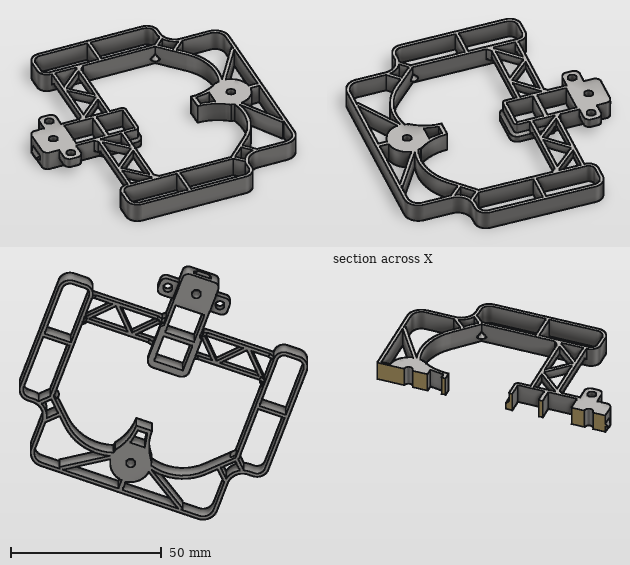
import cadquery as cq
import math

height = 7.0
wall = 1.2
half_width = 43.75

head_half_width = 32.7
head_top = 11.1
head_radius = 5.0
shoulder_y = -9.4
shoulder_radius = 5.25
pod_bottom = -54.7
pod_outer_radius = 4.0
pod_inner_radius = 3.5
pod_rib_y = -33.1

cavity_half_width = 32.0
arch_center_x = 12.0
arch_center_y = -17.85
arch_radius = 17.15
arch_reach = arch_radius * math.sqrt(0.5)
arch_start_x = arch_center_x + arch_reach
arch_start_y = arch_center_y + arch_reach
cavity_corner_y = arch_start_y - (cavity_half_width - arch_start_x)

corner_rib_spacing = 6.6
corner_rib_reach = shoulder_radius
center_rib_width = 1.5
brace_start_x = 21.4
brace_end_x = 6.1
brace_end_y = -0.2

hub_radius = 6.8
bore_diameter = 3.0
beak_half_width = 2.8
beak_tip_y = -13.2
beak_flare_radius = 17.1
beak_top_y = -2.6
beak_window_top_y = -6.8
beak_window_bottom_y = -11.7
beak_window_top_half = 2.5
beak_window_bottom_half = 1.7

arm_height = 3.1
arm_bottom = height - arm_height
rear_bar_y = -41.6
front_bar_y = -50.3
zigzag_end_x = 6.65
zigzag_pitch = 8.2
zigzag_count = 3
haunch = 1.4
cavity_gusset = 1.4
block_gusset = 1.05

block_half_width = 6.3
block_rear_y = -35.7
block_front_y = -70.0
block_front_radius = 2.0
block_rear_radius = 1.3
middle_rib_y = -47.0
middle_rib_width = 1.5
window_front_y = -57.9
block_bore_y = -64.05

lip_side = 1.0
lip_rear = 1.2
lip_front_y = -50.05
lip_radius = 2.7
lip_straight_height = 2.4

tab_half_span = 12.25
tab_width = 6.1
tab_y = -61.6
tab_thickness = 3.4
tab_radius = 2.0
tab_hole_x = 9.2

catch_bottom = 2.2
catch_edge = 0.2
catch_reach = 1.2
catch_half_width = 3.1
nub_radius = 1.75


def mirrored(half):
    return half.union(half.mirror("YZ"))


def bar(start, end, width, bottom=0.0):
    """Upright strip of the given width centred on a line, reaching up to the top face."""
    run = end[0] - start[0]
    rise = end[1] - start[1]
    length = math.hypot(run, rise)
    strip = cq.Workplane("XY").box(length, width, height - bottom, centered=(True, True, False))
    strip = strip.rotate((0, 0, 0), (0, 0, 1), math.degrees(math.atan2(rise, run)))
    return strip.translate(((start[0] + end[0]) / 2, (start[1] + end[1]) / 2, bottom))


def rectangle(x_min, x_max, y_min, y_max, bottom=0.0, top=height):
    block = cq.Workplane("XY").box(x_max - x_min, y_max - y_min, top - bottom, centered=False)
    return block.translate((x_min, y_min, bottom))


def prism(points, top=height, bottom=0.0):
    return cq.Workplane("XY").workplane(offset=bottom).polyline(points).close().extrude(top - bottom)


def ring_blank():
    """Solid between the outer skin and the cavity."""
    pod = rectangle(-half_width, -cavity_half_width, pod_bottom, shoulder_y)
    pod = pod.edges("|Z and <X").fillet(pod_outer_radius)
    pod = pod.edges("|Z and >X and <Y").fillet(pod_inner_radius)
    head = rectangle(-head_half_width, head_half_width, cavity_corner_y, head_top)
    head = head.edges("|Z and >Y").fillet(head_radius)

    shoulder = rectangle(
        -head_half_width - shoulder_radius, -head_half_width, shoulder_y, shoulder_y + shoulder_radius
    )
    shoulder_round = (
        cq.Workplane("XY")
        .center(-head_half_width - shoulder_radius, shoulder_y + shoulder_radius)
        .circle(shoulder_radius)
        .extrude(height)
    )
    blank = head.union(mirrored(pod.union(shoulder.cut(shoulder_round))))

    arch_side_angle = (math.radians(135) + math.acos(arch_center_x / arch_radius)) / 2
    arch_middle = (
        -arch_center_x + arch_radius * math.cos(arch_side_angle),
        arch_center_y + arch_radius * math.sin(arch_side_angle),
    )
    arch_meeting_y = arch_center_y + math.sqrt(arch_radius**2 - arch_center_x**2)
    cavity = (
        cq.Workplane("XY")
        .moveTo(0, pod_bottom)
        .lineTo(-cavity_half_width, pod_bottom)
        .lineTo(-cavity_half_width, cavity_corner_y)
        .lineTo(-arch_start_x, arch_start_y)
        .threePointArc(arch_middle, (0, arch_meeting_y))
        .close()
        .extrude(height)
    )
    return blank.cut(mirrored(cavity)).clean()


def frame():
    """Ring walls with the ribs that stiffen the pods and the head."""
    blank = ring_blank()
    inner_outline = blank.faces("<Z").wires().toPending().offset2D(-wall)
    opening = cq.Workplane("XY").add(inner_outline.vals()).toPending().extrude(height)

    ribs = rectangle(-half_width, -cavity_half_width, pod_rib_y - wall / 2, pod_rib_y + wall / 2)
    for spacing in (0, corner_rib_spacing):
        shift = spacing * math.sqrt(0.5)
        foot = (-cavity_half_width + shift, cavity_corner_y + shift)
        ribs = ribs.union(bar(foot, (foot[0] - corner_rib_reach, foot[1] + corner_rib_reach), wall))
    ribs = ribs.union(bar((-brace_start_x, head_top - wall), (-brace_end_x, brace_end_y), wall))
    ribs = ribs.union(rectangle(-center_rib_width / 2, 0, 0, head_top))
    return blank.cut(opening).union(mirrored(ribs).intersect(blank))


def hub():
    drop = beak_top_y - beak_tip_y
    flare = beak_flare_radius - math.sqrt(beak_flare_radius**2 - drop**2)
    half_beak = (
        cq.Workplane("XY")
        .moveTo(0, beak_top_y)
        .lineTo(0, beak_tip_y)
        .lineTo(-beak_half_width, beak_tip_y)
        .radiusArc((-beak_half_width - flare, beak_top_y), -beak_flare_radius)
        .close()
        .extrude(height)
    )
    disc = cq.Workplane("XY").circle(hub_radius).extrude(height)
    window = prism(
        [
            (-beak_window_top_half, beak_window_top_y),
            (beak_window_top_half, beak_window_top_y),
            (beak_window_bottom_half, beak_window_bottom_y),
            (-beak_window_bottom_half, beak_window_bottom_y),
        ]
    )
    return disc.union(mirrored(half_beak)).cut(window)


def left_arm():
    outer_x = -cavity_half_width
    inner_x = -block_half_width
    lip_x = inner_x - lip_side
    bars = []
    for y in (rear_bar_y, front_bar_y):
        profile = [
            (outer_x, height),
            (outer_x, arm_bottom - haunch),
            (outer_x + haunch, arm_bottom),
            (lip_x - haunch, arm_bottom),
            (lip_x, arm_bottom - haunch),
            (inner_x, arm_bottom - haunch),
            (inner_x, height),
        ]
        strip = cq.Workplane("XZ", origin=(0, y + wall / 2, 0)).polyline(profile).close().extrude(wall)
        bars.append(strip)
    arm = bars[0].union(bars[1])

    for index in range(zigzag_count):
        right_x = -zigzag_end_x - index * zigzag_pitch
        ends = [rear_bar_y, front_bar_y]
        if index % 2:
            ends.reverse()
        arm = arm.union(bar((right_x - zigzag_pitch, ends[0]), (right_x, ends[1]), wall, arm_bottom))

    rear_face = rear_bar_y + wall / 2
    front_face = front_bar_y - wall / 2
    for x, y, leg in ((outer_x, rear_face, cavity_gusset), (inner_x, front_face, -block_gusset)):
        corner = [(x, y), (x + leg, y), (x, y + leg)]
        arm = arm.union(prism(corner, bottom=arm_bottom - haunch))
    return arm


def block():
    body = rectangle(-block_half_width, block_half_width, block_front_y, block_rear_y)
    body = body.edges("|Z and <Y").fillet(block_front_radius)
    body = body.edges("|Z and >Y").fillet(block_rear_radius)

    lip_half_width = block_half_width + lip_side
    lip = rectangle(
        -lip_half_width, lip_half_width, lip_front_y, block_rear_y + lip_rear, top=lip_straight_height
    )
    lip = lip.edges("|Z and >Y").fillet(lip_radius)
    lip = lip.edges("|Z and <Y").chamfer(lip_side)
    lip = lip.union(lip.faces(">Z").wires().toPending().workplane().extrude(lip_rear, taper=45))

    tabs = rectangle(
        -tab_half_span, tab_half_span, tab_y - tab_width / 2, tab_y + tab_width / 2, height - tab_thickness
    )
    tabs = tabs.edges("|Z").fillet(tab_radius)
    body = body.union(lip).union(tabs)

    window_half_width = block_half_width - wall
    window_rear_y = block_rear_y - wall
    rear_window_front_y = middle_rib_y + middle_rib_width / 2
    front_window_rear_y = middle_rib_y - middle_rib_width / 2
    for front_y, rear_y in ((rear_window_front_y, window_rear_y), (window_front_y, front_window_rear_y)):
        body = body.cut(rectangle(-window_half_width, window_half_width, front_y, rear_y))
    return body


def front_catch():
    """Wedge on the block's front face, narrowing towards its tip."""
    top = catch_bottom + catch_edge + catch_reach
    tip_y = block_front_y - catch_reach
    profile = [
        (block_front_y, catch_bottom),
        (tip_y, catch_bottom),
        (tip_y, catch_bottom + catch_edge),
        (block_front_y, top),
    ]
    wedge = (
        cq.Workplane("YZ", origin=(-catch_half_width, 0, 0))
        .polyline(profile)
        .close()
        .extrude(2 * catch_half_width)
    )
    tip_half_width = catch_half_width - catch_reach
    plan = prism(
        [
            (-catch_half_width, block_front_y),
            (-tip_half_width, tip_y),
            (tip_half_width, tip_y),
            (catch_half_width, block_front_y),
        ]
    )
    return wedge.intersect(plan)


def corner_nub():
    """Upward pointing cone in the cavity corner, kept to the cavity side of the walls."""
    cone = cq.Workplane("XY").add(cq.Solid.makeCone(nub_radius, 0, nub_radius))
    cone = cone.translate((-cavity_half_width, cavity_corner_y, catch_bottom))
    left_of_side = rectangle(
        -half_width, -cavity_half_width, cavity_corner_y - nub_radius, cavity_corner_y + nub_radius
    )
    above_diagonal = prism(
        [
            (-cavity_half_width, cavity_corner_y),
            (-cavity_half_width + nub_radius, cavity_corner_y + nub_radius),
            (-cavity_half_width, cavity_corner_y + nub_radius),
        ]
    )
    return cone.cut(left_of_side).cut(above_diagonal)


result = frame().union(hub()).union(mirrored(left_arm())).union(mirrored(corner_nub()))

result = result.union(block()).union(front_catch())

bore_centers = [(0, 0), (0, block_bore_y), (-tab_hole_x, tab_y), (tab_hole_x, tab_y)]
result = result.cut(
    cq.Workplane("XY").pushPoints(bore_centers).circle(bore_diameter / 2).extrude(height)
)